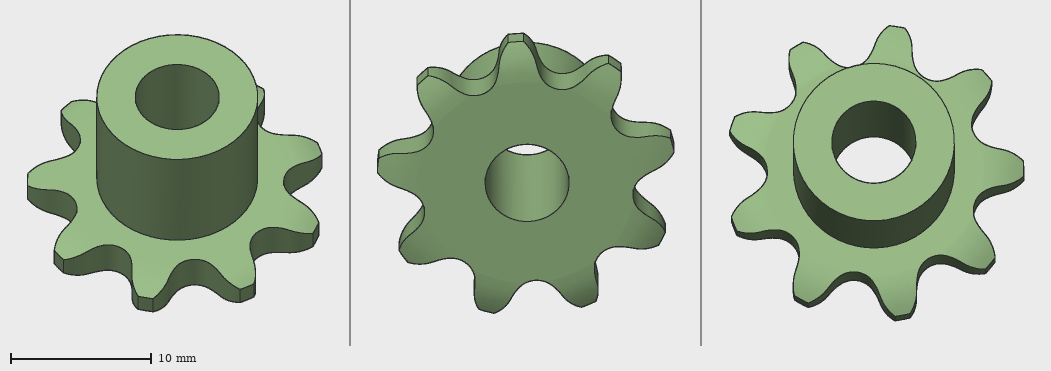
import cadquery as cq
import math


overall_width = 21.25
overall_height = 12.0
hub_diameter = 11.5
bore_diameter = 6.0

plate_thickness = 2.89
tip_thickness = 1.49
flat_face_radius = 7.8
cutter_reach = 12.75

tooth_count = 9
chain_pitch = 6.35
roller_diameter = 3.3
seating_clearance = 0.076

half_tooth_angle = math.pi / tooth_count
pitch_radius = chain_pitch / (2 * math.sin(half_tooth_angle))
seating_angle = math.radians(35 + 60 / tooth_count)
working_angle = math.radians(18 - 56 / tooth_count)
topping_angle = math.radians(17 - 64 / tooth_count)
flank_angle = seating_angle - working_angle

seating_radius = (1.0005 * roller_diameter + seating_clearance) / 2
working_radius = 1.3025 * roller_diameter + seating_clearance / 2
working_offset = 0.8 * roller_diameter
topping_offset = 1.4 * roller_diameter
topping_radius = (
    working_offset * math.cos(working_angle)
    + topping_offset * math.cos(topping_angle)
    - working_radius
)


def polar(center, radius, angle):
    """Point at the given radius and angle around a centre."""
    return (center[0] + radius * math.cos(angle), center[1] + radius * math.sin(angle))


seating_center = (0, pitch_radius)
working_center = polar(seating_center, working_offset, math.pi - seating_angle)
topping_center = polar(seating_center, topping_offset, -half_tooth_angle)

widest_tooth_angle = -half_tooth_angle / 2
tip_arc_along = pitch_radius * math.cos(half_tooth_angle)
tip_arc_across = topping_offset - chain_pitch / 2
tip_arc_distance = math.hypot(tip_arc_along, tip_arc_across)
tip_arc_angle = widest_tooth_angle - math.atan2(tip_arc_across, tip_arc_along)
tip_arc_center = polar((0, 0), tip_arc_distance, tip_arc_angle)
tip_corner_x = overall_width / 2
tip_corner_y = tip_arc_center[1] + math.sqrt(topping_radius**2 - (tip_corner_x - tip_arc_center[0]) ** 2)
tip_radius = math.hypot(tip_corner_x, tip_corner_y)


def make_plate_blank():
    """Disc with flat faces whose rim curves in to the tip thickness on both sides."""
    side_drop = (plate_thickness - tip_thickness) / 2
    side_run = tip_radius - flat_face_radius
    side_radius = (side_run**2 + side_drop**2) / (2 * side_drop)
    half_sweep = math.asin(side_run / side_radius) / 2
    mid_radius = flat_face_radius + side_radius * math.sin(half_sweep)
    mid_drop = side_radius * (1 - math.cos(half_sweep))
    return (
        cq.Workplane("XZ")
        .lineTo(flat_face_radius, 0)
        .threePointArc((mid_radius, mid_drop), (tip_radius, side_drop))
        .lineTo(tip_radius, plate_thickness - side_drop)
        .threePointArc((mid_radius, plate_thickness - mid_drop), (flat_face_radius, plate_thickness))
        .lineTo(0, plate_thickness)
        .close()
        .revolve(360, (0, 0), (0, 1))
    )


def mirrored(point):
    """Matching point on the left-hand flank."""
    return (-point[0], point[1])


def make_gap_cutter():
    """Solid that fills the tooth gap opening along +Y, running out beyond the tips."""
    seat_bottom = polar(seating_center, seating_radius, -math.pi / 2)
    seat_end = polar(seating_center, seating_radius, -seating_angle)
    working_mid = polar(working_center, working_radius, -(seating_angle + flank_angle) / 2)
    working_end = polar(working_center, working_radius, -flank_angle)
    topping_start_angle = math.pi - flank_angle
    topping_end_angle = math.pi / 2
    topping_start = polar(topping_center, topping_radius, topping_start_angle)
    topping_mid_angle = (topping_start_angle + topping_end_angle) / 2
    topping_mid = polar(topping_center, topping_radius, topping_mid_angle)
    topping_end = polar(topping_center, topping_radius, topping_end_angle)
    outer_point = (0, cutter_reach)
    return (
        cq.Workplane("XY")
        .moveTo(*mirrored(seat_end))
        .threePointArc(seat_bottom, seat_end)
        .threePointArc(working_mid, working_end)
        .lineTo(*topping_start)
        .threePointArc(topping_mid, topping_end)
        .threePointArc(outer_point, mirrored(topping_end))
        .threePointArc(mirrored(topping_mid), mirrored(topping_start))
        .lineTo(*mirrored(working_end))
        .threePointArc(mirrored(working_mid), mirrored(seat_end))
        .close()
        .extrude(plate_thickness)
    )


def make_toothed_plate():
    plate = make_plate_blank()
    gap_cutter = make_gap_cutter()
    for gap in range(tooth_count):
        plate = plate.cut(gap_cutter.rotate((0, 0, 0), (0, 0, 1), gap * 360 / tooth_count))
    return plate


hub = cq.Workplane("XY").circle(hub_diameter / 2).extrude(overall_height)
bore = cq.Workplane("XY").circle(bore_diameter / 2).extrude(overall_height)

result = make_toothed_plate().union(hub).cut(bore)